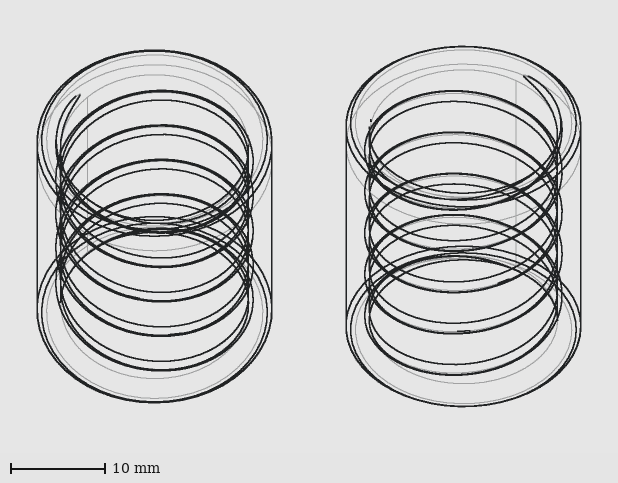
import cadquery as cq

outer_diameter = 25.0
bore_diameter = 20.0
length = 30.0
outer_chamfer = 0.5
mouth_radius = 1.5
lead_in_length = 3.0

groove_pitch = 6.0
groove_radius = 0.8
groove_depth = 0.5
groove_start_angle = 180.0
groove_top = length
groove_turns = 5

outer_radius = outer_diameter / 2
bore_radius = bore_diameter / 2


def make_sleeve():
    """Revolve the wall section, with its seam at the groove start."""
    rim_radius = outer_radius - outer_chamfer
    mouth_rim = bore_radius + mouth_radius
    section = (
        cq.Workplane("XZ")
        .moveTo(mouth_rim, 0)
        .lineTo(rim_radius, 0)
        .lineTo(outer_radius, outer_chamfer)
        .lineTo(outer_radius, length - lead_in_length)
        .lineTo(outer_radius, length - outer_chamfer)
        .lineTo(rim_radius, length)
        .lineTo(mouth_rim, length)
        .radiusArc((bore_radius, length - mouth_radius), -mouth_radius)
        .lineTo(bore_radius, mouth_radius)
        .radiusArc((mouth_rim, 0), -mouth_radius)
        .close()
    )
    sleeve = section.revolve(360, (0, 0, 0), (0, 1, 0), clean=False)
    return sleeve.rotate((0, 0, 0), (0, 0, 1), groove_start_angle)


def make_groove_cutter():
    """Sweep a circle along a left-hand helix that ends at the top of the groove."""
    centre_radius = bore_radius + groove_depth - groove_radius
    height = groove_pitch * groove_turns
    helix = cq.Wire.makeHelix(groove_pitch, height, centre_radius, lefthand=True)
    cutter = (
        cq.Workplane("XZ")
        .center(centre_radius, 0)
        .circle(groove_radius)
        .sweep(cq.Workplane(helix), isFrenet=True)
    )
    bottom_angle = groove_start_angle + 360 * groove_turns
    turned = cutter.rotate((0, 0, 0), (0, 0, 1), bottom_angle)
    return turned.translate((0, 0, groove_top - height))


result = make_sleeve().cut(make_groove_cutter(), clean=False)